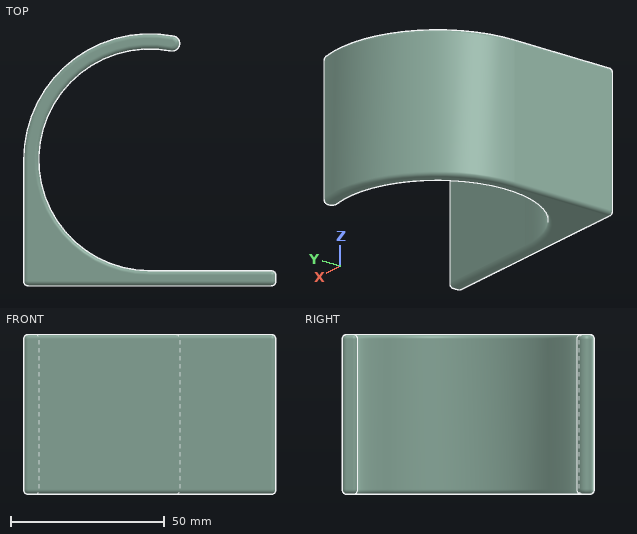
import cadquery as cq
import math

bore_radius = 36.0
wall = 5.0
height = 52.0
edge_radius = 1.5
hook_overrun_angle = 10.9

outer_radius = bore_radius + wall
tip_radius = wall / 2
tip_center_radius = bore_radius + tip_radius


def at_angle(radius, degrees):
    """Point in the XY plane at a radius and angle about the hook axis."""
    angle = math.radians(degrees)
    return (radius * math.cos(angle), radius * math.sin(angle))


def make_profile():
    """Square corner with a flat leg along +X and a hook arching over +Y."""
    tip_angle = 90 - hook_overrun_angle
    outer_mid_angle = (180 + tip_angle) / 2
    inner_mid_angle = (270 + tip_angle) / 2

    tip_center = at_angle(tip_center_radius, tip_angle)
    tip_reach = at_angle(tip_radius, tip_angle - 90)
    tip_end = (tip_center[0] + tip_reach[0], tip_center[1] + tip_reach[1])

    return (
        cq.Workplane("XY")
        .workplane(offset=-height / 2)
        .moveTo(-outer_radius, -outer_radius)
        .lineTo(outer_radius, -outer_radius)
        .lineTo(outer_radius, -bore_radius)
        .lineTo(0, -bore_radius)
        .threePointArc(at_angle(bore_radius, inner_mid_angle), at_angle(bore_radius, tip_angle))
        .threePointArc(tip_end, at_angle(outer_radius, tip_angle))
        .threePointArc(at_angle(outer_radius, outer_mid_angle), (-outer_radius, 0))
        .close()
    )


def round_edges(body):
    """Round the three sharp upright corners and both end-face outlines."""
    leg_end_edges = body.faces(">X").edges("|Z")
    corner_edge = body.edges("|Z").edges("<X and <Y")
    upright_edges = leg_end_edges.add(corner_edge)
    outline_edges = body.faces("|Z").edges()
    return body.newObject(upright_edges.add(outline_edges).vals()).fillet(edge_radius)


result = round_edges(make_profile().extrude(height))